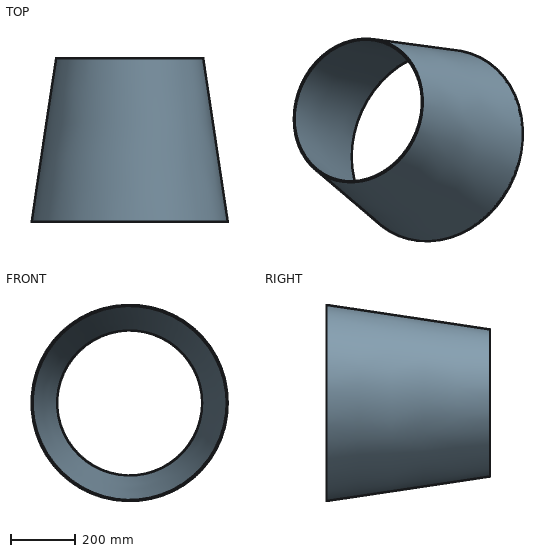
import cadquery as cq

large_diameter = 609.6
small_diameter = 457.2
wall_thickness = 4.0
length = 508.0

large_radius = large_diameter / 2
small_radius = small_diameter / 2

wall_section = (
    cq.Workplane("XY")
    .moveTo(large_radius - wall_thickness, 0)
    .lineTo(large_radius, 0)
    .lineTo(small_radius, length)
    .lineTo(small_radius - wall_thickness, length)
    .close()
)

result = wall_section.revolve(360, (0, 0, 0), (0, 1, 0))